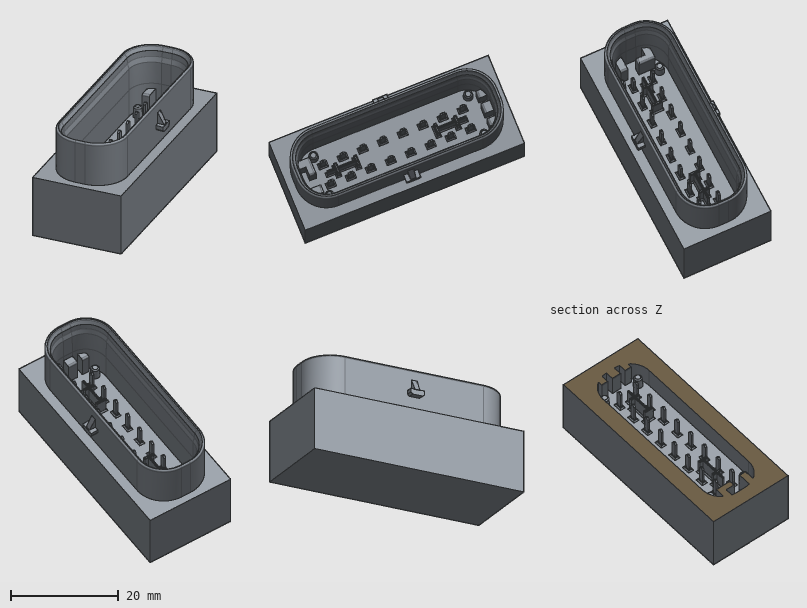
import cadquery as cq

BASE_WIDTH = 18.0
BASE_LENGTH = 44.0
BASE_HEIGHT = 12.28
TOTAL_HEIGHT = 21.0

SHROUD_WIDTH = 13.95
SHROUD_LENGTH = 41.0
SHROUD_RADIUS = 6.0
RIM_FILLET = 0.35

FLOOR_Z = 7.9
CAVITY_STEPS = [
    (0.0, 0.45),
    (0.18, 0.6),
    (0.9, 1.0),
    (2.05, 1.1),
    (3.12, 1.4),
    (7.55, 1.45),
    (TOTAL_HEIGHT - FLOOR_Z, 1.45),
]

HOOK_REACH = 1.45
HOOK_DROP = 0.15
HOOK_LENGTH = 2.85
HOOK_THICKNESS = 1.1
HOOK_TOP_Z = BASE_HEIGHT + 4.35
HOOK_CHAMFER = 0.35
BRACE_TOP_Z = BASE_HEIGHT + 6.6
BRACE_REACH = 1.28
BRACE_ROOT_WIDTH = 1.25
BRACE_TIP_WIDTH = 1.0

ROOT_OVERLAP = 0.45

TAB_TOP_Z = BASE_HEIGHT
TAB_FILLET = 0.35
TAB_INNER_X = 2.05
TAB_OUTER_X = 3.55
CENTRE_TAB_HALF_WIDTH = 1.0
NORTH_TAB_Y = 16.05
SOUTH_TAB_Y = -17.3
TAB_END_Y = SHROUD_LENGTH / 2 - 1.2
TAB_ARM_X = 0.18
TAB_ARM_LENGTH = 1.3

PIN_ROW_X = 2.0
PIN_PITCH = 4.0
PINS_PER_ROW = 8
PIN_FOOT_WIDTH = 1.2
PIN_FOOT_LENGTH = 1.85
BLADE_WIDTH = 0.4
BLADE_LENGTH = 0.92
BLADE_TOP_Z = 11.9
BLADE_TIP_HEIGHT = 0.4
BLADE_TIP_LENGTH = 0.18

STEM_WIDTH = 0.92
STEM_INNER_Y = 7.5
STEM_OUTER_Y = 14.2
CROSSBAR_WIDTH = 2.5
CROSSBAR_THICKNESS = 1.05
INNER_CROSSBAR_Y = STEM_INNER_Y + CROSSBAR_THICKNESS / 2
CROSSBAR_Y = (INNER_CROSSBAR_Y, INNER_CROSSBAR_Y + PIN_PITCH)

FOOT_INSET = 0.25
FOOT_TOP_Z = FLOOR_Z + FOOT_INSET
RIDGE_BEVEL = 0.15
RIDGE_TOP_Z = 11.0

POST_X = 4.0
NORTH_POST_Y = 15.1
SOUTH_POST_Y = -15.95
POST_RADIUS = 0.92
POST_SHOULDER_RADIUS = 0.8
POST_TOP_RADIUS = 0.55
POST_TOP_Z = 10.1
POST_TIP_HEIGHT = 0.25


def box(x_min, x_max, y_min, y_max, z_min, z_max):
    """Axis-aligned block between the given limits."""
    size = (x_max - x_min, y_max - y_min, z_max - z_min)
    return cq.Workplane("XY").box(*size, centered=False).translate((x_min, y_min, z_min))


def frustum(center, foot, top, z_min, z_max):
    """Rectangular block tapering from its foot (width, length) to its top (width, length)."""
    return (
        cq.Workplane("XY", origin=(*center, z_min))
        .rect(*foot)
        .workplane(offset=z_max - z_min)
        .rect(*top)
        .loft(ruled=True)
    )


def shrink(size, inset):
    """Rectangle size after moving every side inward by the inset."""
    width, length = size
    return (width - 2 * inset, length - 2 * inset)


def shroud_outline(wall, z):
    """Shroud outline moved inward by the wall thickness."""
    return (
        cq.Sketch()
        .rect(SHROUD_WIDTH - 2 * wall, SHROUD_LENGTH - 2 * wall)
        .vertices()
        .fillet(SHROUD_RADIUS - wall)
        .moved(cq.Location(cq.Vector(0, 0, z)))
    )


def make_cavity():
    """Stepped and drafted cavity, stacked from one tier per pair of neighbouring steps."""
    cavity = cq.Workplane("XY")
    for (upper_depth, upper_wall), (lower_depth, lower_wall) in zip(CAVITY_STEPS, CAVITY_STEPS[1:]):
        lower_outline = shroud_outline(lower_wall, TOTAL_HEIGHT - lower_depth)
        upper_outline = shroud_outline(upper_wall, TOTAL_HEIGHT - upper_depth)
        tier = cq.Workplane("XY").placeSketch(lower_outline, upper_outline).loft(ruled=True)
        cavity = cavity.add(tier)
    return cavity.combine()


def make_housing():
    """Base block with the hollow shroud standing on it."""
    base = cq.Workplane("XY").box(BASE_WIDTH, BASE_LENGTH, BASE_HEIGHT, centered=(True, True, False))
    shroud = cq.Workplane("XY").placeSketch(shroud_outline(0, 0)).extrude(TOTAL_HEIGHT)
    shroud = shroud.faces(">Z").edges().fillet(RIM_FILLET)
    return base.union(shroud).cut(make_cavity())


def hook_profile(x, top_z):
    """Cross-section of the hook bar at the given X, with its two lower corners bevelled."""
    half_length = HOOK_LENGTH / 2
    bottom_z = top_z - HOOK_THICKNESS
    points = [
        (half_length, top_z),
        (half_length, bottom_z + HOOK_CHAMFER),
        (half_length - HOOK_CHAMFER, bottom_z),
        (HOOK_CHAMFER - half_length, bottom_z),
        (-half_length, bottom_z + HOOK_CHAMFER),
        (-half_length, top_z),
    ]
    return cq.Wire.makePolygon([cq.Vector(x, y, z) for y, z in points], close=True)


def make_latch():
    """Latch on the +X side: a bar sloping down outward, braced by a tapered wedge above it."""
    wall_x = SHROUD_WIDTH / 2
    root_x = wall_x - ROOT_OVERLAP
    tip_top_z = HOOK_TOP_Z - HOOK_DROP
    root_profile = hook_profile(root_x, HOOK_TOP_Z)
    tip_profile = hook_profile(wall_x + HOOK_REACH, tip_top_z)
    hook = cq.Workplane(cq.Solid.makeLoft([root_profile, tip_profile], True))
    brace_side = (
        cq.Workplane("XZ")
        .moveTo(root_x, tip_top_z)
        .lineTo(wall_x + BRACE_REACH, tip_top_z)
        .lineTo(wall_x, BRACE_TOP_Z)
        .lineTo(root_x, BRACE_TOP_Z)
        .close()
        .extrude(BRACE_ROOT_WIDTH, both=True)
    )
    brace_plan = (
        cq.Workplane("XY")
        .moveTo(root_x, -BRACE_ROOT_WIDTH / 2)
        .lineTo(wall_x, -BRACE_ROOT_WIDTH / 2)
        .lineTo(wall_x + BRACE_REACH, -BRACE_TIP_WIDTH / 2)
        .lineTo(wall_x + BRACE_REACH, BRACE_TIP_WIDTH / 2)
        .lineTo(wall_x, BRACE_ROOT_WIDTH / 2)
        .lineTo(root_x, BRACE_ROOT_WIDTH / 2)
        .close()
        .extrude(TOTAL_HEIGHT)
    )
    return hook.union(brace_side.intersect(brace_plan))


def make_north_tabs():
    """Plain tab on the left and L-shaped tab on the right of the +Y end."""
    z_limits = (FLOOR_Z - ROOT_OVERLAP, TAB_TOP_Z)
    left = box(-TAB_OUTER_X, -TAB_INNER_X, NORTH_TAB_Y, TAB_END_Y, *z_limits)
    right = box(TAB_INNER_X, TAB_OUTER_X, NORTH_TAB_Y, TAB_END_Y, *z_limits)
    arm = box(TAB_ARM_X, TAB_OUTER_X, NORTH_TAB_Y, NORTH_TAB_Y + TAB_ARM_LENGTH, *z_limits)
    left = left.faces("<Y").edges(">Z").fillet(TAB_FILLET)
    right = right.union(arm)
    right = right.faces("<Y or <X").edges(">Z").fillet(TAB_FILLET)
    return left.union(right)


def make_south_tabs():
    """Three plain tabs at the -Y end."""
    tabs = cq.Workplane("XY")
    for x_min, x_max in (
        (-TAB_OUTER_X, -TAB_INNER_X),
        (-CENTRE_TAB_HALF_WIDTH, CENTRE_TAB_HALF_WIDTH),
        (TAB_INNER_X, TAB_OUTER_X),
    ):
        tab = box(x_min, x_max, -TAB_END_Y, SOUTH_TAB_Y, FLOOR_Z - ROOT_OVERLAP, TAB_TOP_Z)
        tabs = tabs.add(tab.faces(">Y").edges(">Z").fillet(TAB_FILLET))
    return tabs.combine()


def make_pin(center):
    """One contact pin standing on the floor."""
    foot = (PIN_FOOT_WIDTH, PIN_FOOT_LENGTH)
    blade = (BLADE_WIDTH, BLADE_LENGTH)
    tip = (BLADE_WIDTH, BLADE_TIP_LENGTH)
    tip_base_z = BLADE_TOP_Z - BLADE_TIP_HEIGHT
    return (
        frustum(center, foot, shrink(foot, FOOT_INSET), FLOOR_Z, FOOT_TOP_Z)
        .union(frustum(center, blade, blade, FLOOR_Z, tip_base_z))
        .union(frustum(center, blade, tip, tip_base_z, BLADE_TOP_Z))
    )


def make_pins():
    """Two rows of contact pins, evenly spaced along Y about the centre."""
    first_y = -PIN_PITCH * (PINS_PER_ROW - 1) / 2
    pins = cq.Workplane("XY")
    for x in (-PIN_ROW_X, PIN_ROW_X):
        for index in range(PINS_PER_ROW):
            pins = pins.add(make_pin((x, first_y + index * PIN_PITCH)))
    return pins.combine()


def make_north_rib():
    """Rib in the +Y half: the stem and crossbars each have a sloping foot and a ridge."""
    stem_y = (STEM_INNER_Y + STEM_OUTER_Y) / 2
    bars = [(stem_y, (STEM_WIDTH, STEM_OUTER_Y - STEM_INNER_Y))]
    bars += [(y, (CROSSBAR_WIDTH, CROSSBAR_THICKNESS)) for y in CROSSBAR_Y]
    feet = cq.Workplane("XY")
    ridges = cq.Workplane("XY")
    crests = cq.Workplane("XY")
    bevel_z = RIDGE_TOP_Z - RIDGE_BEVEL
    for y, foot in bars:
        ridge = shrink(foot, FOOT_INSET)
        feet = feet.add(frustum((0, y), foot, ridge, FLOOR_Z, FOOT_TOP_Z))
        ridges = ridges.add(frustum((0, y), ridge, ridge, FOOT_TOP_Z, bevel_z))
        crests = crests.add(frustum((0, y), ridge, shrink(ridge, RIDGE_BEVEL), bevel_z, RIDGE_TOP_Z))
    return feet.combine().union(ridges.combine()).union(crests.combine())


def make_post(x, y):
    """Round tapered post with a bevelled tip."""
    return (
        cq.Workplane("XZ")
        .lineTo(POST_RADIUS, 0)
        .lineTo(POST_SHOULDER_RADIUS, POST_TOP_Z - FLOOR_Z - POST_TIP_HEIGHT)
        .lineTo(POST_TOP_RADIUS, POST_TOP_Z - FLOOR_Z)
        .lineTo(0, POST_TOP_Z - FLOOR_Z)
        .close()
        .revolve()
        .translate((x, y, FLOOR_Z))
    )


result = make_housing()

latch = make_latch()
result = result.union(latch).union(latch.mirror("YZ"))

result = result.union(make_north_tabs()).union(make_south_tabs()).union(make_pins())

north_rib = make_north_rib()
result = result.union(north_rib).union(north_rib.mirror("XZ"))

for post_x in (-POST_X, POST_X):
    for post_y in (NORTH_POST_Y, SOUTH_POST_Y):
        result = result.union(make_post(post_x, post_y))